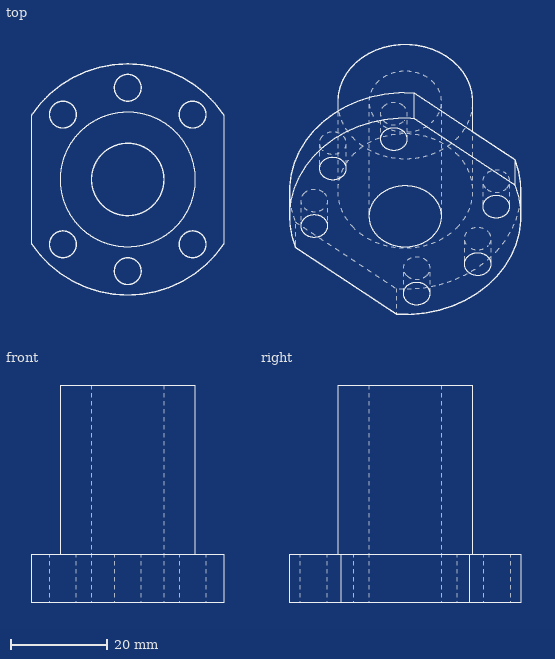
import cadquery as cq

flange_diameter = 48.0
flange_width = 40.0
flange_thickness = 10.0

total_height = 45.0
body_diameter = 28.0
bore_diameter = 15.0

bolt_circle_diameter = 38.0
bolt_hole_diameter = 5.5
bolt_hole_spacing_angle = 45
bolt_holes_per_group = 3
group_centre_angles = (90, 270)


def make_flange():
    disc = cq.Workplane("XY").circle(flange_diameter / 2).extrude(flange_thickness)
    flats = cq.Workplane("XY").rect(flange_width, flange_diameter).extrude(flange_thickness)
    return disc.intersect(flats)


def make_body():
    return cq.Workplane("XY").circle(body_diameter / 2).extrude(total_height)


def make_bore():
    return cq.Workplane("XY").circle(bore_diameter / 2).extrude(total_height)


def make_bolt_holes(centre_angle):
    start_angle = centre_angle - bolt_hole_spacing_angle * (bolt_holes_per_group - 1) / 2
    return (
        cq.Workplane("XY")
        .polarArray(
            bolt_circle_diameter / 2,
            start_angle,
            bolt_hole_spacing_angle,
            bolt_holes_per_group,
            fill=False,
        )
        .circle(bolt_hole_diameter / 2)
        .extrude(flange_thickness)
    )


result = make_flange().union(make_body()).cut(make_bore())
for group_centre_angle in group_centre_angles:
    result = result.cut(make_bolt_holes(group_centre_angle))